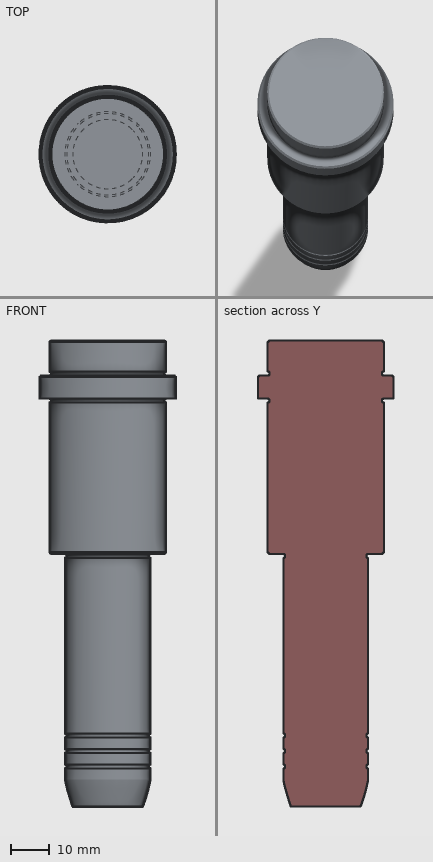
import cadquery as cq

total_length = 120.0
flange_radius = 35.0 / 2
body_radius = 30.0 / 2
shank_radius = 22.0 / 2
tip_radius = 18.4 / 2

head_length = 9.0
flange_length = 6.0
body_length = 40.0
nose_length = 7.0

edge_chamfer = 0.5
tip_chamfer_height = 0.5
tip_chamfer_depth = 0.2
nose_bulge = 0.15

groove_width = 1.0
groove_depth = groove_width / 2
ring_count = 3
ring_pitch = 4.0
last_ring_gap = 3.0

flange_top = total_length - head_length
flange_bottom = flange_top - flange_length
body_bottom = flange_bottom - body_length


def cylinder(radius, bottom, top):
    """Solid cylinder on the Z axis between two heights."""
    return cq.Workplane("XY").workplane(offset=bottom).circle(radius).extrude(top - bottom)


def groove(radius, bottom):
    """Ring-shaped cutter with an arc floor, starting at the given height."""
    return (
        cq.Workplane("XZ")
        .moveTo(radius, bottom)
        .threePointArc(
            (radius - groove_depth, bottom + groove_width / 2),
            (radius, bottom + groove_width),
        )
        .close()
        .revolve(360, (0, 0, 0), (0, 1, 0))
    )


def nose():
    """Slightly bulged taper that ends in a small chamfer."""
    middle_radius = (shank_radius + tip_radius) / 2 + nose_bulge
    middle_height = (nose_length + tip_chamfer_height) / 2
    return (
        cq.Workplane("XZ")
        .moveTo(0, 0)
        .lineTo(tip_radius - tip_chamfer_depth, 0)
        .lineTo(tip_radius, tip_chamfer_height)
        .threePointArc((middle_radius, middle_height), (shank_radius, nose_length))
        .lineTo(0, nose_length)
        .close()
        .revolve(360, (0, 0, 0), (0, 1, 0))
    )


head = cylinder(body_radius, flange_top, total_length).faces(">Z").chamfer(edge_chamfer)
flange = cylinder(flange_radius, flange_bottom, flange_top).faces(">Z").chamfer(edge_chamfer)
body = cylinder(body_radius, body_bottom, flange_bottom).faces("<Z").chamfer(edge_chamfer)
shank = cylinder(shank_radius, nose_length, body_bottom)
result = head.union(flange).union(body).union(shank).union(nose())

result = result.cut(groove(body_radius, flange_top))
result = result.cut(groove(body_radius, flange_bottom - groove_width))
result = result.cut(groove(shank_radius, body_bottom - groove_width))

for index in range(ring_count):
    ring_bottom = nose_length + last_ring_gap + index * ring_pitch
    result = result.cut(groove(shank_radius, ring_bottom))